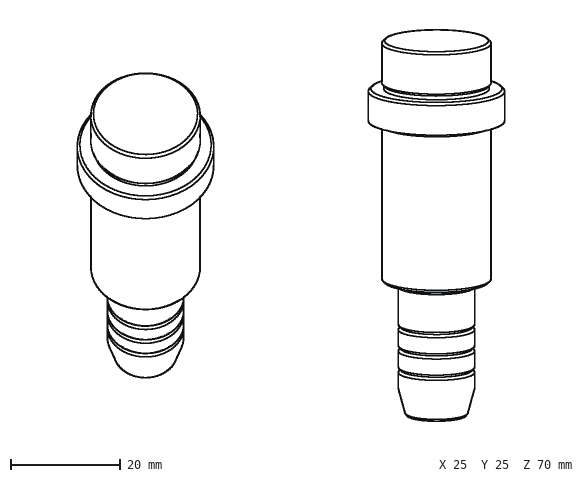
import cadquery as cq
import math

total_height = 70.0
body_radius = 20.0 / 2
flange_radius = 25.0 / 2
tail_radius = 7.0

edge_chamfer = 0.5

flange_bottom = 55.0
flange_top = 61.05
relief_depth = 0.35
relief_width = 0.85
relief_slope_height = 0.4
upper_relief_width = 1.1

body_bottom = 25.0
neck_radius = 6.5
neck_height = 1.0

tip_height = 5.0
tip_angle = 15.0
tip_chamfer = 0.4
groove_count = 3
groove_pitch = 4.0
groove_width = 1.0
groove_depth = 0.5
lowest_groove_bottom = 8.0

relief_radius = body_radius - relief_depth
tail_top = body_bottom - neck_height
tip_radius = tail_radius - tip_height * math.tan(math.radians(tip_angle))
tip_chamfer_radius = tail_radius - (tip_height - tip_chamfer) * math.tan(math.radians(tip_angle))


def groove_points(bottom):
    """Half-section of one V-groove, listed from bottom to top."""
    return [
        (tail_radius, bottom),
        (tail_radius - groove_depth, bottom + groove_width / 2),
        (tail_radius, bottom + groove_width),
    ]


tip_points = [
    (0, 0),
    (tip_radius - tip_chamfer / 2, 0),
    (tip_chamfer_radius, tip_chamfer),
    (tail_radius, tip_height),
]

tail_points = []
for index in range(groove_count):
    tail_points += groove_points(lowest_groove_bottom + index * groove_pitch)
tail_points += [
    (tail_radius, tail_top),
    (neck_radius, tail_top),
    (neck_radius, body_bottom),
]

body_points = [
    (body_radius - edge_chamfer, body_bottom),
    (body_radius, body_bottom + edge_chamfer),
    (body_radius, flange_bottom - relief_width),
    (relief_radius, flange_bottom - relief_width + relief_slope_height),
    (relief_radius, flange_bottom),
]

flange_points = [
    (flange_radius, flange_bottom),
    (flange_radius, flange_top - edge_chamfer),
    (flange_radius - edge_chamfer, flange_top),
    (relief_radius, flange_top),
]

head_points = [
    (relief_radius, flange_top + upper_relief_width - relief_slope_height),
    (body_radius, flange_top + upper_relief_width),
    (body_radius, total_height - edge_chamfer),
    (body_radius - edge_chamfer, total_height),
    (0, total_height),
]

half_section = tip_points + tail_points + body_points + flange_points + head_points
result = cq.Workplane("XZ").polyline(half_section).close().revolve(360, (0, 0, 0), (0, 1, 0))